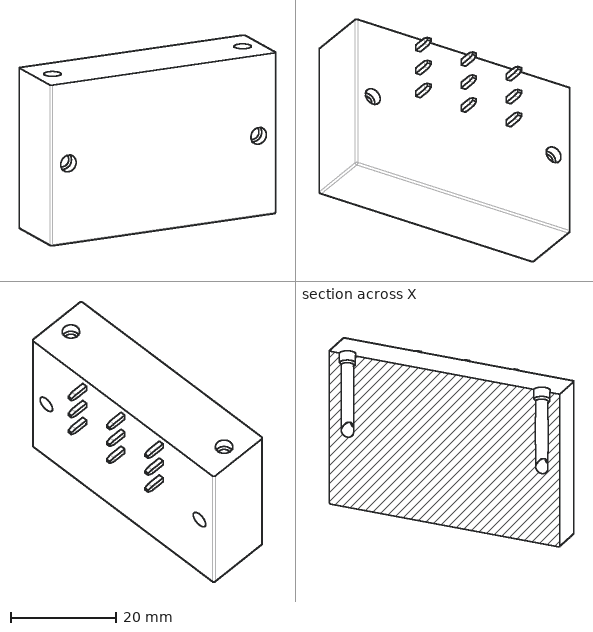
import cadquery as cq

block_width = 13.4
block_length = 48.25
block_height = 32.0
edge_radius = 0.4

hole_spacing = 40.6
hole_diameter = 2.5
counterbore_diameter = 3.3
counterbore_depth = 1.95
step_depth = (counterbore_diameter - hole_diameter) / 2

pin_length = 4.0
pin_width = 1.0
pin_height = 1.2
pin_taper_length = 1.0
pin_tip_width = 0.8
pin_tip_height = 0.6
pin_column_pitch = hole_spacing / 4
pin_row_pitch = pin_column_pitch / 2
top_row_drop = 2.1
pin_columns = 3
pin_rows = 3

front_x = -block_width / 2
hole_axis_z = block_height / 2


def make_block():
    """Block with rounded upright and bottom edges; the top edges stay sharp."""
    block = cq.Workplane("XY").box(block_width, block_length, block_height, (True, True, False))
    return block.edges("|Z or <Z").fillet(edge_radius)


def make_counterbore(mouth):
    """Counterbore sunk from an outward-facing plane, ending in a conical step."""
    counterbore = mouth.circle(counterbore_diameter / 2).extrude(-counterbore_depth)
    step = (
        mouth.workplane(offset=-counterbore_depth)
        .circle(counterbore_diameter / 2)
        .workplane(offset=-step_depth)
        .circle(hole_diameter / 2)
        .loft()
    )
    return counterbore.union(step)


def make_mounting_hole(y):
    """Through hole along X, met at its axis by a hole from the top face."""
    front_face = cq.Workplane(cq.Plane((front_x, y, hole_axis_z), (0, 1, 0), (-1, 0, 0)))
    back_face = cq.Workplane(cq.Plane((-front_x, y, hole_axis_z), (0, 1, 0), (1, 0, 0)))
    top_face = cq.Workplane(cq.Plane((0, y, block_height), (1, 0, 0), (0, 0, 1)))
    cross_hole = front_face.circle(hole_diameter / 2).extrude(-block_width)
    top_hole = top_face.circle(hole_diameter / 2).extrude(hole_axis_z - block_height)
    hole = cross_hole.union(top_hole)
    for face in (front_face, back_face, top_face):
        hole = hole.union(make_counterbore(face))
    return hole


def make_pin(y, z):
    """Rectangular pin on the -X face with a tapered tip."""
    root = cq.Workplane(cq.Plane((front_x, y, z), (0, 1, 0), (-1, 0, 0)))
    shank_length = pin_length - pin_taper_length
    shank = root.rect(pin_width, pin_height).extrude(shank_length)
    tip = (
        root.workplane(offset=shank_length)
        .rect(pin_width, pin_height)
        .workplane(offset=pin_taper_length)
        .rect(pin_tip_width, pin_tip_height)
        .loft(ruled=True)
    )
    return shank.union(tip)


result = make_block()

for side in (-1, 1):
    result = result.cut(make_mounting_hole(side * hole_spacing / 2))

for column in range(pin_columns):
    pin_y = (column - (pin_columns - 1) / 2) * pin_column_pitch
    for row in range(pin_rows):
        pin_z = block_height - top_row_drop - row * pin_row_pitch
        result = result.union(make_pin(pin_y, pin_z))